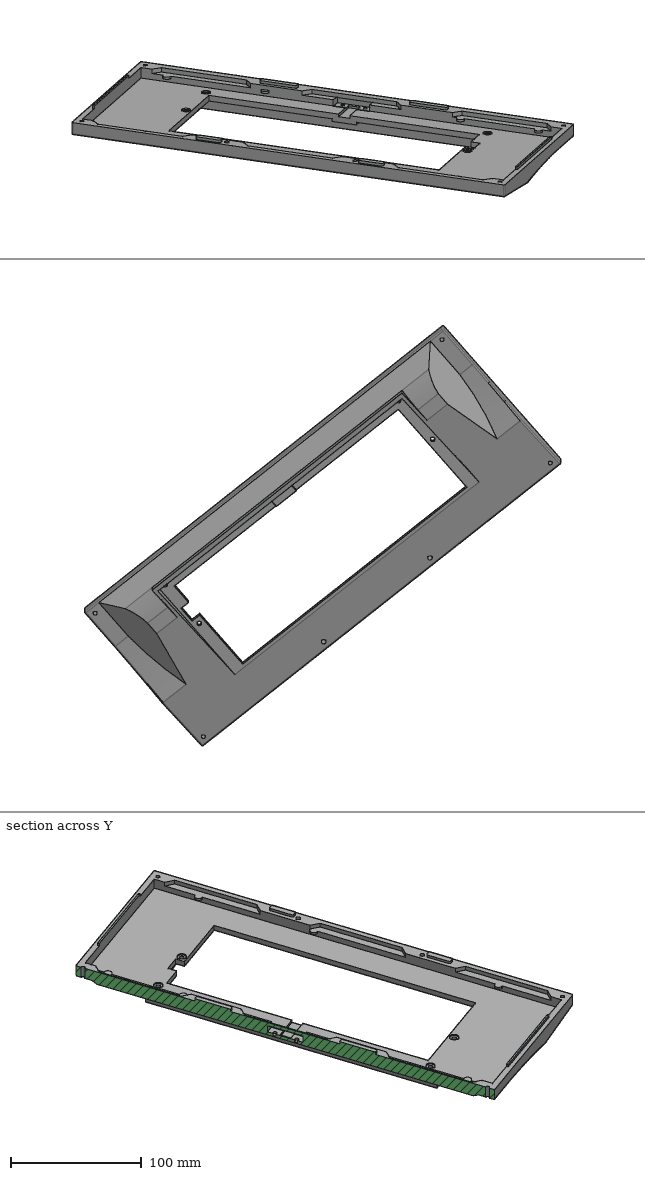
import cadquery as cq
import math

LENGTH = 358.0
DEPTH = 141.5
RIDGE_HEIGHT = 2.0
TOTAL_HEIGHT = 25.8
HALF_LENGTH = LENGTH / 2
BACK_Y = DEPTH / 2
FRONT_Y = -DEPTH / 2
LOWEST_Z = RIDGE_HEIGHT - TOTAL_HEIGHT
EDGE_RADIUS = 1.0

RIM_HEIGHT = 10.0
FOOT_BACK_Y = 54.8
BOTTOM_SLOPE = (-RIM_HEIGHT - LOWEST_Z) / (FOOT_BACK_Y - FRONT_Y)
END_STEP_Y = 34.5
END_MIDDLE_Y = 5.5
END_MIDDLE_Z = -11.8
END_LOW_Y = -22.5
HUMP_BEND_Y = 54.8
HUMP_BEND_Z = -17.2
HUMP_MIDDLE_Y = 42.5
HUMP_MIDDLE_Z = -19.7
HUMP_LOW_Y = 24.7
CHEEK_ANGLE = 27.0
CHEEK_HALF_WIDTH = 145.0
FOOT_HALF_WIDTH = 124.5
FOOT_TOP_Z = -14.5

END_WALL = 5.0
BACK_WALL = 12.0
FRONT_WALL = 10.0
FLOOR_Z = -8.5
CAVITY_BACK_Y = BACK_Y - BACK_WALL
CAVITY_FRONT_Y = FRONT_Y + FRONT_WALL

WINDOW_HALF_WIDTH = 111.7
WINDOW_BACK_Y = 43.7
WINDOW_FRONT_Y = -38.5
SIDE_NOTCH_X = 119.3
SIDE_NOTCH_FRONT_Y = 13.3
SIDE_NOTCH_BACK_Y = 26.5
POCKET_HALF_WIDTH = 121.8
POCKET_BACK_Y = 51.2
POCKET_TOP_Z = -13.3

RECESS_SPACING = 124.3
RECESS_HALF_LENGTH = 41.0
RECESS_DEPTH = 3.5
BACK_RECESS_EDGE = 6.5
FRONT_RECESS_EDGE = 4.3

GROOVE_WIDTH = 9.3
GROOVE_Z = -10.7
SEAT_WIDTH = 30.0
SEAT_Z = -9.0
SEAT_BACK_Y = 67.0
SEAT_HOLE_DIAMETER = 3.0
SEAT_HOLE_X = 9.3
SEAT_HOLE_Y = 63.8
SEAT_HOLE_DEPTH = 1.8
GROOVE_PAD_WIDTH = 20.0
GROOVE_PAD_DROP = 2.0

LONG_RIDGE_CENTER_X = 62.0
BACK_RIDGE_LENGTH = 30.8
FRONT_RIDGE_LENGTH = 20.5
RIDGE_OUTER_X = LONG_RIDGE_CENTER_X + BACK_RIDGE_LENGTH / 2
RIDGE_WIDTH = 4.5
RIDGE_END_RADIUS = 1.0
BACK_RIDGE_Y = 64.0
FRONT_RIDGE_Y = -66.3
END_RIDGE_THICKNESS = 1.5
END_RIDGE_BACK_Y = 34.5
END_RIDGE_FRONT_Y = -36.5

STOP_DIAMETER = 6.5
BACK_STOPS_X = (-152.5, -71.3, 90.3, 154.7)
FRONT_STOPS_X = (-120.5, 37.5, 136.0)
STOP_TOP_Z = -RECESS_DEPTH
STOP_THICKNESS = 1.8

CORNER_HOLE_DIAMETER = 3.0
FRONT_HOLE_DIAMETER = 3.5
RIM_HOLE_Y = 65.0
CORNER_HOLE_X = 173.0
FRONT_HOLE_X = 53.0
SCREW_X = 116.5
SCREW_YS = (49.0, 8.2)
SCREW_HOLE_DIAMETER = 3.5
SCREW_HEAD_DIAMETER = 7.0
SCREW_HEAD_DEPTH = 1.0


def bottom_z(y):
    """Height of the sloping underside at a given Y."""
    return -RIM_HEIGHT - BOTTOM_SLOPE * (y - FRONT_Y)


def box(x0, x1, y0, y1, z0, z1):
    return cq.Workplane("XY").box(x1 - x0, y1 - y0, z1 - z0, centered=False).translate((x0, y0, z0))


def along_x(profile, half_width):
    """Extrude a YZ outline symmetrically about X = 0."""
    return profile.close().extrude(half_width, both=True)


def end_section():
    """Shallow full-length block with rounded lower edges and corners."""
    profile = (
        cq.Workplane("YZ")
        .moveTo(BACK_Y, 0)
        .lineTo(BACK_Y, -RIM_HEIGHT)
        .lineTo(END_STEP_Y, -RIM_HEIGHT)
        .threePointArc((END_MIDDLE_Y, END_MIDDLE_Z), (END_LOW_Y, bottom_z(END_LOW_Y)))
        .lineTo(FRONT_Y, -RIM_HEIGHT)
        .lineTo(FRONT_Y, 0)
    )
    block = along_x(profile, HALF_LENGTH)
    return block.faces("<X or >X or <Y or >Y").edges("not >Z").fillet(EDGE_RADIUS)


def hump():
    """Deep middle of the tray, with both cheeks sloping in towards the bottom."""
    profile = (
        cq.Workplane("YZ")
        .moveTo(BACK_Y - EDGE_RADIUS, -RIM_HEIGHT)
        .lineTo(HUMP_BEND_Y, HUMP_BEND_Z)
        .threePointArc((HUMP_MIDDLE_Y, HUMP_MIDDLE_Z), (HUMP_LOW_Y, bottom_z(HUMP_LOW_Y)))
        .lineTo(FRONT_Y + EDGE_RADIUS, bottom_z(FRONT_Y + EDGE_RADIUS))
        .lineTo(FRONT_Y + EDGE_RADIUS, -RIM_HEIGHT)
    )
    low_z = bottom_z(HUMP_LOW_Y)
    top_half_width = CHEEK_HALF_WIDTH - low_z / math.tan(math.radians(CHEEK_ANGLE))
    cheeks = (
        cq.Workplane("XZ")
        .moveTo(-top_half_width, 0)
        .lineTo(-CHEEK_HALF_WIDTH, low_z)
        .lineTo(CHEEK_HALF_WIDTH, low_z)
        .lineTo(top_half_width, 0)
        .close()
        .extrude(DEPTH, both=True)
    )
    return along_x(profile, HALF_LENGTH).intersect(cheeks)


def foot():
    """Wedge that carries the sloping underside on to the lowest point of the part."""
    profile = (
        cq.Workplane("YZ")
        .moveTo(FOOT_BACK_Y, FOOT_TOP_Z)
        .lineTo(FOOT_BACK_Y, LOWEST_Z)
        .lineTo(END_LOW_Y, bottom_z(END_LOW_Y))
        .lineTo(END_LOW_Y, FLOOR_Z)
    )
    return along_x(profile, FOOT_HALF_WIDTH)


def cavity():
    half = HALF_LENGTH - END_WALL
    return box(-half, half, CAVITY_FRONT_Y, CAVITY_BACK_Y, FLOOR_Z, RIDGE_HEIGHT)


def window():
    half = WINDOW_HALF_WIDTH
    opening = box(-half, half, WINDOW_FRONT_Y, WINDOW_BACK_Y, LOWEST_Z, 0)
    notch = box(0, SIDE_NOTCH_X, SIDE_NOTCH_FRONT_Y, SIDE_NOTCH_BACK_Y, LOWEST_Z, 0)
    return opening.union(notch)


def pocket():
    """Level-topped pocket under the floor; it runs out through the sloping underside."""
    half = POCKET_HALF_WIDTH
    return box(-half, half, FRONT_Y, POCKET_BACK_Y, LOWEST_Z, POCKET_TOP_Z)


def groove_pad():
    half = GROOVE_PAD_WIDTH / 2
    return box(-half, half, WINDOW_BACK_Y, POCKET_BACK_Y, POCKET_TOP_Z - GROOVE_PAD_DROP, POCKET_TOP_Z)


def end_ridge():
    inner_x = HALF_LENGTH - END_WALL
    outer_x = inner_x + END_RIDGE_THICKNESS
    return box(inner_x, outer_x, END_RIDGE_FRONT_Y, END_RIDGE_BACK_Y, 0, RIDGE_HEIGHT)


def recess(center_x, edge_y, wall_y):
    """Trapezoid with 45 degree ends, open towards the cavity."""
    inset = abs(edge_y - wall_y)
    short = RECESS_HALF_LENGTH - inset
    return (
        cq.Workplane("XY", origin=(center_x, 0, -RECESS_DEPTH))
        .moveTo(-RECESS_HALF_LENGTH, wall_y)
        .lineTo(-short, edge_y)
        .lineTo(short, edge_y)
        .lineTo(RECESS_HALF_LENGTH, wall_y)
        .close()
        .extrude(RECESS_DEPTH)
    )


def long_ridge(center_x, center_y, length):
    return (
        cq.Workplane("XY", origin=(center_x, center_y, 0))
        .rect(length, RIDGE_WIDTH)
        .extrude(RIDGE_HEIGHT)
        .edges("|Z")
        .fillet(RIDGE_END_RADIUS)
    )


def stop(x, wall_y):
    """Disc half sunk in the cavity wall, level with the recesses."""
    disc = cq.Workplane("XY", origin=(x, wall_y, STOP_TOP_Z)).circle(STOP_DIAMETER / 2)
    return disc.extrude(-STOP_THICKNESS)


def holes(points, diameter, top_z, low_z):
    centers = cq.Workplane("XY", origin=(0, 0, low_z)).pushPoints(points)
    return centers.circle(diameter / 2).extrude(top_z - low_z)


result = end_section().union(hump()).union(foot())
result = result.cut(cavity()).cut(pocket())
result = result.union(groove_pad())
result = result.cut(window())

for stop_x in BACK_STOPS_X:
    result = result.union(stop(stop_x, CAVITY_BACK_Y))
for stop_x in FRONT_STOPS_X:
    result = result.union(stop(stop_x, CAVITY_FRONT_Y))

for center_x in (-RECESS_SPACING, 0, RECESS_SPACING):
    result = result.cut(recess(center_x, BACK_Y - BACK_RECESS_EDGE, CAVITY_BACK_Y))
    result = result.cut(recess(center_x, FRONT_Y + FRONT_RECESS_EDGE, CAVITY_FRONT_Y))

groove_back_y = BACK_Y - BACK_RECESS_EDGE
seat_half = SEAT_WIDTH / 2
groove_half = GROOVE_WIDTH / 2
result = result.cut(box(-seat_half, seat_half, CAVITY_BACK_Y, SEAT_BACK_Y, SEAT_Z, -RECESS_DEPTH))
result = result.cut(box(-groove_half, groove_half, WINDOW_BACK_Y, groove_back_y, GROOVE_Z, 0))
seat_points = [(-SEAT_HOLE_X, SEAT_HOLE_Y), (SEAT_HOLE_X, SEAT_HOLE_Y)]
result = result.cut(holes(seat_points, SEAT_HOLE_DIAMETER, SEAT_Z, SEAT_Z - SEAT_HOLE_DEPTH))

front_ridge_x = RIDGE_OUTER_X - FRONT_RIDGE_LENGTH / 2
result = result.union(end_ridge()).union(end_ridge().mirror("YZ"))
for side in (-1, 1):
    result = result.union(long_ridge(side * LONG_RIDGE_CENTER_X, BACK_RIDGE_Y, BACK_RIDGE_LENGTH))
    result = result.union(long_ridge(side * front_ridge_x, FRONT_RIDGE_Y, FRONT_RIDGE_LENGTH))

corner_points = [(sx * CORNER_HOLE_X, sy * RIM_HOLE_Y) for sx in (-1, 1) for sy in (-1, 1)]
result = result.cut(holes(corner_points, CORNER_HOLE_DIAMETER, 0, LOWEST_Z))
front_points = [(-FRONT_HOLE_X, -RIM_HOLE_Y), (FRONT_HOLE_X, -RIM_HOLE_Y)]
result = result.cut(holes(front_points, FRONT_HOLE_DIAMETER, 0, LOWEST_Z))
screw_points = [(sx * SCREW_X, y) for sx in (-1, 1) for y in SCREW_YS]
result = result.cut(holes(screw_points, SCREW_HOLE_DIAMETER, FLOOR_Z, LOWEST_Z))
head_z = FLOOR_Z - SCREW_HEAD_DEPTH
result = result.cut(holes(screw_points, SCREW_HEAD_DIAMETER, FLOOR_Z, head_z))